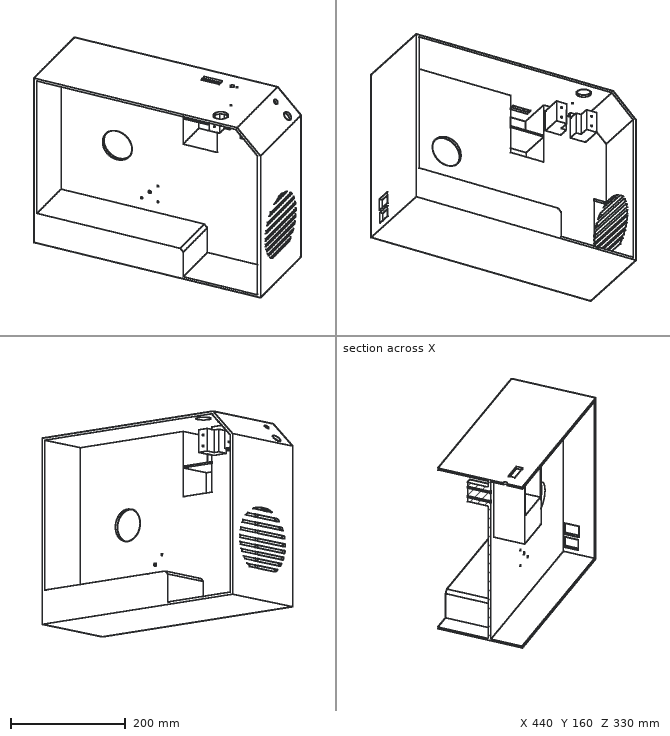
import cadquery as cq
import math

width = 440.0
depth = 160.0
height = 330.0
corner_cut = 45.4
side_wall = 6.0
floor_wall = 4.5
roof_wall = 4.5
sloped_wall = 5.3
roof_z = height - roof_wall
inner_right = width - side_wall

partition_front = 95.0
partition_wall = 6.0
partition_rear = partition_front + partition_wall

step_right = 290.0
step_top = 60.0
step_edge_cut = 6.0

round_opening_center = (115.0, 175.0)
round_opening_diameter = 57.0
fan_opening_left = 410.0
fan_opening_bottom = 45.0
fan_opening_height = 120.0
mount_center = (178.0, 97.5)
mount_center_diameter = 5.0
mount_offset = 15.75
mount_screw_diameter = 3.0
mount_corners = ((-1, -1), (1, -1), (1, 1))

duct_left = 243.0
duct_right = 309.0
duct_bottom = 210.0
duct_wall = 3.0
duct_shelf_bottom = 261.0
duct_shelf_top = duct_shelf_bottom + duct_wall

bracket_center_x = 352.7
bracket_gap = 19.3
bracket_ledge_width = 10.3
bracket_block_width = 20.2
bracket_bottom = 274.5
bracket_top = 314.5
bracket_block_depth = 39.0
bracket_ledge_depth = 20.0
bracket_screw_spacing = 19.3
bracket_screw_diameter = 2.5
notch_bottom = 317.0

roof_slot_left = 264.0
roof_slot_length = 35.0
roof_slot_front = 123.5
roof_slot_width = 12.5
roof_holes = (
    (322.3, 127.5, 7.5),
    (331.0, 128.0, 2.5),
    (350.0, 65.7, 2.5),
    (350.0, 26.0, 26.0),
)

corner_hole_y = 129.6
corner_holes = ((406.0, 9.0), (429.0, 16.0))

socket_front = 102.0
upper_socket_bottom = 40.0
upper_socket_width = 28.5
upper_socket_height = 22.5
lower_socket_bottom = 13.3
lower_socket_width = 26.8
lower_socket_height = 21.2

grille_y = depth / 2
grille_z = fan_opening_bottom + fan_opening_height / 2
grille_radius = fan_opening_height / 2
slot_inner_height = 8.0
slot_outer_height = 4.4
lower_slot_start = 55.5
lower_slot_pitch = 12.0
lower_slot_count = 4
upper_slot_start = lower_slot_start + lower_slot_count * lower_slot_pitch
upper_slot_pitch = 14.0
upper_slot_count = 5


def box(x0, x1, y0, y1, z0, z1):
    return cq.Workplane("XY").box(x1 - x0, y1 - y0, z1 - z0, centered=False).translate((x0, y0, z0))


def extrude_along_y(points, y0, y1):
    """Prism with an (x, z) outline between two y positions."""
    return cq.Workplane("XZ", origin=(0, y0, 0)).polyline(points).close().extrude(y0 - y1)


def hole_along_y(x, z, diameter):
    """Round bar along y over the whole depth of the case."""
    return cq.Workplane("XZ").center(x, z).circle(diameter / 2).extrude(-depth)


def make_shell():
    outer = extrude_along_y(
        [(0, 0), (width, 0), (width, height - corner_cut), (width - corner_cut, height), (0, height)],
        0,
        depth,
    )
    slope_sum = width + height - corner_cut - sloped_wall * math.sqrt(2)
    right_and_roof = [
        (inner_right, floor_wall),
        (inner_right, slope_sum - inner_right),
        (slope_sum - roof_z, roof_z),
        (side_wall, roof_z),
    ]
    front_room = extrude_along_y(
        [
            (side_wall, step_top),
            (step_right - step_edge_cut, step_top),
            (step_right, step_top - step_edge_cut),
            (step_right, floor_wall),
            *right_and_roof,
        ],
        0,
        partition_front,
    )
    rear_room = extrude_along_y(
        [(side_wall, floor_wall), *right_and_roof],
        partition_rear,
        depth,
    )
    return outer.cut(front_room).cut(rear_room)


def cut_partition_openings(body):
    body = body.cut(hole_along_y(*round_opening_center, round_opening_diameter))
    body = body.cut(
        box(
            fan_opening_left, inner_right, partition_front, partition_rear,
            fan_opening_bottom, fan_opening_bottom + fan_opening_height,
        )
    )
    mount_x, mount_z = mount_center
    body = body.cut(hole_along_y(mount_x, mount_z, mount_center_diameter))
    for side_x, side_z in mount_corners:
        screw_x = mount_x + side_x * mount_offset
        screw_z = mount_z + side_z * mount_offset
        body = body.cut(hole_along_y(screw_x, screw_z, mount_screw_diameter))
    return body


def add_duct(body):
    body = body.union(
        box(
            duct_left - duct_wall, duct_right + duct_wall, partition_rear, depth,
            duct_bottom - duct_wall, roof_z,
        )
    )
    upper = box(duct_left, duct_right, partition_front, depth, duct_shelf_top, roof_z)
    lower = box(
        duct_left, duct_right, partition_front, depth - duct_wall, duct_bottom, duct_shelf_bottom
    )
    return body.cut(upper).cut(lower)


def add_brackets(body):
    middle_z = (bracket_bottom + bracket_top) / 2
    half_gap = bracket_gap / 2
    for side in (-1, 1):
        gap_x = bracket_center_x + side * half_gap
        step_x = gap_x + side * bracket_ledge_width
        outer_x = step_x + side * bracket_block_width
        for x_a, x_b, reach in (
            (gap_x, step_x, bracket_ledge_depth),
            (step_x, outer_x, bracket_block_depth),
        ):
            body = body.union(
                box(
                    min(x_a, x_b), max(x_a, x_b), partition_front - reach, partition_front,
                    bracket_bottom, bracket_top,
                )
            )
        for end in (-1, 1):
            screw_z = middle_z + end * bracket_screw_spacing / 2
            body = body.cut(hole_along_y((step_x + outer_x) / 2, screw_z, bracket_screw_diameter))
    notch = box(
        bracket_center_x - half_gap, bracket_center_x + half_gap,
        partition_front, partition_rear, notch_bottom, roof_z,
    )
    return body.cut(notch)


def cut_roof(body):
    body = body.cut(
        box(
            roof_slot_left, roof_slot_left + roof_slot_length,
            roof_slot_front, roof_slot_front + roof_slot_width, roof_z, height,
        )
    )
    for x, y, diameter in roof_holes:
        drill = cq.Workplane("XY", origin=(x, y, roof_z)).circle(diameter / 2).extrude(roof_wall)
        body = body.cut(drill)
    return body


def cut_corner_holes(body):
    clearance = sloped_wall / 4
    for x, diameter in corner_holes:
        surface_z = width + height - corner_cut - x
        drill = cq.Solid.makeCylinder(
            diameter / 2,
            2 * sloped_wall,
            cq.Vector(x + clearance, corner_hole_y, surface_z + clearance),
            cq.Vector(-1, 0, -1),
        )
        body = body.cut(cq.Workplane(drill))
    return body


def cut_sockets(body):
    for bottom, opening_width, opening_height in (
        (upper_socket_bottom, upper_socket_width, upper_socket_height),
        (lower_socket_bottom, lower_socket_width, lower_socket_height),
    ):
        body = body.cut(
            box(0, side_wall, socket_front, socket_front + opening_width, bottom, bottom + opening_height)
        )
    return body


def cut_grille(body):
    """Slots with level floors and roofs falling outward, trimmed to a circle."""
    floors = [lower_slot_start + i * lower_slot_pitch for i in range(lower_slot_count)]
    floors += [upper_slot_start + i * upper_slot_pitch for i in range(upper_slot_count)]
    disc = (
        cq.Workplane("YZ", origin=(inner_right, grille_y, grille_z))
        .circle(grille_radius)
        .extrude(side_wall)
    )
    for floor_z in floors:
        slot = extrude_along_y(
            [
                (inner_right, floor_z),
                (width, floor_z),
                (width, floor_z + slot_outer_height),
                (inner_right, floor_z + slot_inner_height),
            ],
            grille_y - grille_radius,
            grille_y + grille_radius,
        )
        body = body.cut(slot.intersect(disc))
    return body


result = make_shell()
result = cut_partition_openings(result)
result = add_duct(result)
result = add_brackets(result)
result = cut_roof(result)
result = cut_corner_holes(result)
result = cut_sockets(result)
result = cut_grille(result)